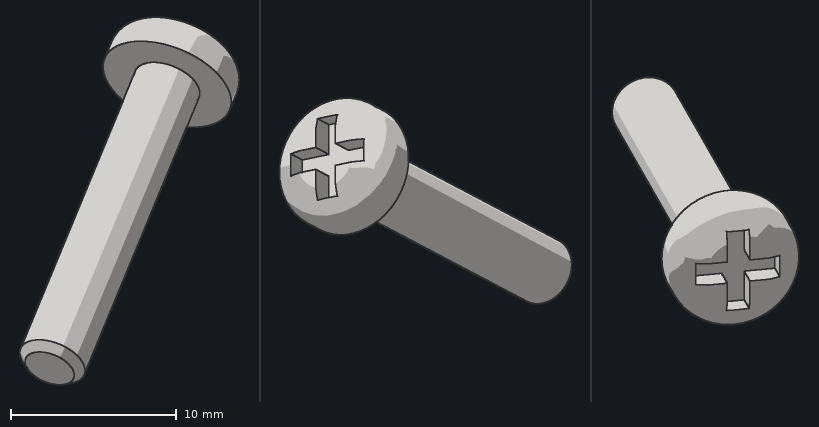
import cadquery as cq
import math

SHANK_DIAMETER = 4.17
SHANK_LENGTH = 22.225
TIP_CHAMFER = 0.52

HEAD_DIAMETER = 8.18
HEAD_HEIGHT = 2.921
RIM_HEIGHT = 1.31
CROWN_RADIUS = 8.0
FLAT_RADIUS = 2.0

RECESS_SPAN = 5.2
RECESS_ARM_WIDTH = 1.4
RECESS_DEPTH = 1.5

shank_radius = SHANK_DIAMETER / 2
head_radius = HEAD_DIAMETER / 2

crown_center_y = HEAD_HEIGHT - math.sqrt(CROWN_RADIUS**2 - FLAT_RADIUS**2)
flat_edge_angle = math.acos(FLAT_RADIUS / CROWN_RADIUS)

center_rise = RIM_HEIGHT - crown_center_y
shoulder_radius = (CROWN_RADIUS**2 - head_radius**2 - center_rise**2) / (2 * (CROWN_RADIUS - head_radius))
shoulder_center_x = head_radius - shoulder_radius
tangent_angle = math.atan2(center_rise, shoulder_center_x)


def crown_point(angle):
    """Point of the crown arc at the given angle from the radial direction."""
    return (CROWN_RADIUS * math.cos(angle), crown_center_y + CROWN_RADIUS * math.sin(angle))


def shoulder_point(angle):
    """Point of the shoulder arc at the given angle from the radial direction."""
    return (
        shoulder_center_x + shoulder_radius * math.cos(angle),
        RIM_HEIGHT + shoulder_radius * math.sin(angle),
    )


def screw_body():
    """Revolve the half profile of shank and head about the Y axis."""
    crown_middle_angle = (tangent_angle + flat_edge_angle) / 2
    return (
        cq.Workplane("XY")
        .moveTo(0, -SHANK_LENGTH)
        .lineTo(shank_radius - TIP_CHAMFER, -SHANK_LENGTH)
        .lineTo(shank_radius, -SHANK_LENGTH + TIP_CHAMFER)
        .lineTo(shank_radius, 0)
        .lineTo(head_radius, 0)
        .lineTo(head_radius, RIM_HEIGHT)
        .threePointArc(shoulder_point(tangent_angle / 2), shoulder_point(tangent_angle))
        .threePointArc(crown_point(crown_middle_angle), (FLAT_RADIUS, HEAD_HEIGHT))
        .lineTo(0, HEAD_HEIGHT)
        .close()
        .revolve(360, (0, 0, 0), (0, 1, 0))
    )


def cross_recess():
    """Cross-shaped driver recess with arms along X and Z, sunk from the flat top."""
    center_y = HEAD_HEIGHT - RECESS_DEPTH / 2
    arm_along_x = cq.Workplane("XY").box(RECESS_SPAN, RECESS_DEPTH, RECESS_ARM_WIDTH)
    arm_along_z = cq.Workplane("XY").box(RECESS_ARM_WIDTH, RECESS_DEPTH, RECESS_SPAN)
    return arm_along_x.union(arm_along_z).translate((0, center_y, 0))


result = screw_body().cut(cross_recess())